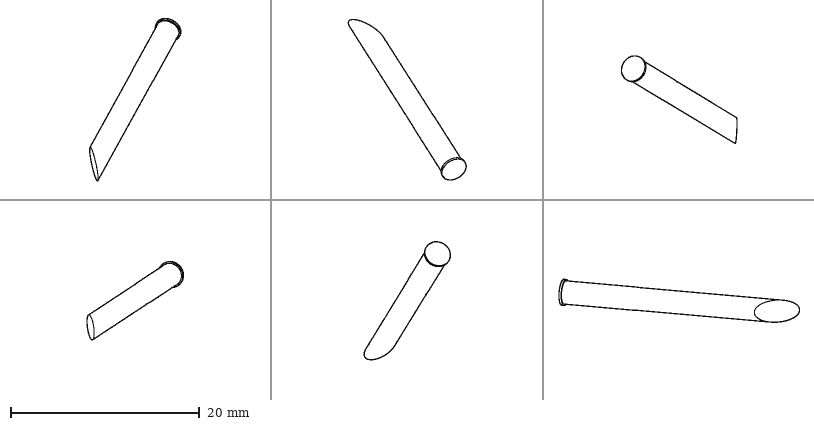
import cadquery as cq
import math

total_length = 26.0
head_diameter = 2.8
head_thickness = 0.25
rear_diameter = 2.5
front_diameter = 2.45
tip_angle = 30.0

taper_start = 8.1
taper_length = 0.15

head_radius = head_diameter / 2
rear_radius = rear_diameter / 2
front_radius = front_diameter / 2
tip_length = front_diameter / math.tan(math.radians(tip_angle))


def turned_pin():
    """Half profile in the XY plane revolved about Y, with the head face at Y = 0."""
    return (
        cq.Workplane("XY")
        .lineTo(head_radius, 0)
        .lineTo(head_radius, -head_thickness)
        .lineTo(rear_radius, -head_thickness)
        .lineTo(rear_radius, -taper_start)
        .lineTo(front_radius, -taper_start - taper_length)
        .lineTo(front_radius, -total_length)
        .lineTo(0, -total_length)
        .close()
        .revolve(360, (0, 0, 0), (0, 1, 0))
    )


def tip_waste():
    """Wedge beyond the slanted tip face; the point is left on the +X side."""
    return (
        cq.Workplane("XY", origin=(0, -total_length, 0))
        .moveTo(front_radius, 0)
        .lineTo(-front_radius, tip_length)
        .lineTo(-front_radius, 0)
        .close()
        .extrude(front_radius, both=True)
    )


result = turned_pin().cut(tip_waste())